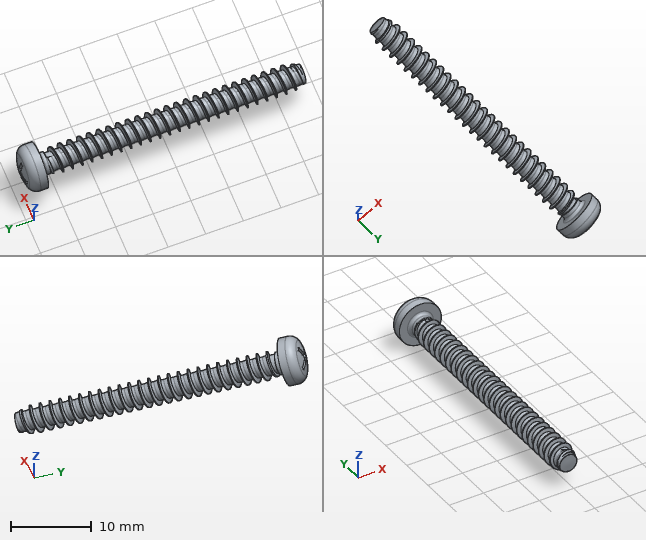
import cadquery as cq
import math


head_radius = 3.05
head_height = 2.65
rim_height = 1.04
dome_radius = 6.0

recess_span = 3.8
wing_width = 0.5
recess_depth = 1.5
wing_taper = math.radians(26.5)

shank_length = 35.0
end_cone_height = 0.07
core_radius = 1.245
neck_radius = 1.45
neck_length = 0.9
neck_fillet = 0.42

crest_radius = 1.8
pitch = 1.29
turns = 26.5
thread_start = -0.83
flank_angle = math.radians(15)
crest_half_width = 0.06
foot_radius = 1.32
foot_reach = 0.7
root_overlap = 0.1
run_in_length = 1.3
run_out_length = 1.7
plain_tip = 0.1


def make_body():
    """Head, neck and core revolved about Y, the half profile lying on the +Z side."""
    dome_center = head_height - dome_radius
    rise = rim_height - dome_center
    corner_radius = (dome_radius**2 - head_radius**2 - rise**2) / (2 * (dome_radius - head_radius))
    corner_center = head_radius - corner_radius
    tangent_angle = math.atan2(rise, corner_center)

    def dome_point(angle):
        return dome_center + dome_radius * math.sin(angle), dome_radius * math.cos(angle)

    def corner_point(angle):
        return (
            rim_height + corner_radius * math.sin(angle),
            corner_center + corner_radius * math.cos(angle),
        )

    fillet_mid = neck_fillet * (1 - math.sqrt(0.5))

    profile = (
        cq.Workplane("YZ")
        .moveTo(head_height, 0)
        .threePointArc(dome_point((math.pi / 2 + tangent_angle) / 2), dome_point(tangent_angle))
        .threePointArc(corner_point(tangent_angle / 2), (rim_height, head_radius))
        .lineTo(0, head_radius)
        .lineTo(0, neck_radius + neck_fillet)
        .threePointArc((-fillet_mid, neck_radius + fillet_mid), (-neck_fillet, neck_radius))
        .lineTo(-neck_length, neck_radius)
        .lineTo(-neck_length, core_radius)
        .lineTo(-shank_length + end_cone_height, core_radius)
        .lineTo(-shank_length, 0)
        .close()
    )
    return profile.revolve(360, (0, 0), (1, 0))


def make_recess():
    """Cross recess: two crossing wings whose tips slope in toward the bottom."""
    top_half = recess_span / 2
    bottom_half = top_half - recess_depth * math.tan(wing_taper)
    bottom = head_height - recess_depth
    wing = (
        cq.Workplane("XY")
        .polyline([
            (-bottom_half, bottom),
            (bottom_half, bottom),
            (top_half, head_height),
            (-top_half, head_height),
        ])
        .close()
        .extrude(wing_width / 2, both=True)
    )
    return wing.union(wing.rotate((0, 0, 0), (0, 1, 0), 90))


def make_thread():
    """Right-hand helical ridge, trimmed by an envelope that tapers at both ends."""
    root_radius = core_radius - root_overlap

    def flank_offset(radius):
        return crest_half_width + (crest_radius - radius) * math.tan(flank_angle)

    foot_sink = 0.02
    foot_slope = (foot_radius - core_radius) / (foot_reach - flank_offset(foot_radius))
    buried_reach = foot_reach + foot_sink / foot_slope

    helix = cq.Wire.makeHelix(pitch, turns * pitch, core_radius)
    ridge = (
        cq.Workplane("XZ")
        .polyline([
            (root_radius, -flank_offset(root_radius)),
            (crest_radius, -crest_half_width),
            (crest_radius, crest_half_width),
            (foot_radius, flank_offset(foot_radius)),
            (core_radius - foot_sink, buried_reach),
            (root_radius, buried_reach),
        ])
        .close()
        .sweep(cq.Workplane(helix), isFrenet=True)
        .rotate((0, 0, 0), (1, 0, 0), 90)
        .rotate((0, 0, 0), (0, 1, 0), -90)
        .translate((0, thread_start, 0))
    )

    clearance = 0.05
    run_out_end = -shank_length + plain_tip
    full_radius = crest_radius + clearance
    run_in_slope = (crest_radius - neck_radius) / run_in_length
    run_out_slope = (crest_radius - core_radius) / run_out_length
    full_start = thread_start - run_in_length - clearance / run_in_slope
    full_end = run_out_end + run_out_length + clearance / run_out_slope
    envelope = (
        cq.Workplane("YZ")
        .polyline([
            (0, 0),
            (0, full_radius + full_start * run_in_slope),
            (full_start, full_radius),
            (full_end, full_radius),
            (run_out_end, core_radius),
            (run_out_end, 0),
        ])
        .close()
        .revolve(360, (0, 0), (1, 0))
    )
    return ridge.intersect(envelope)


result = make_body().cut(make_recess()).union(make_thread())